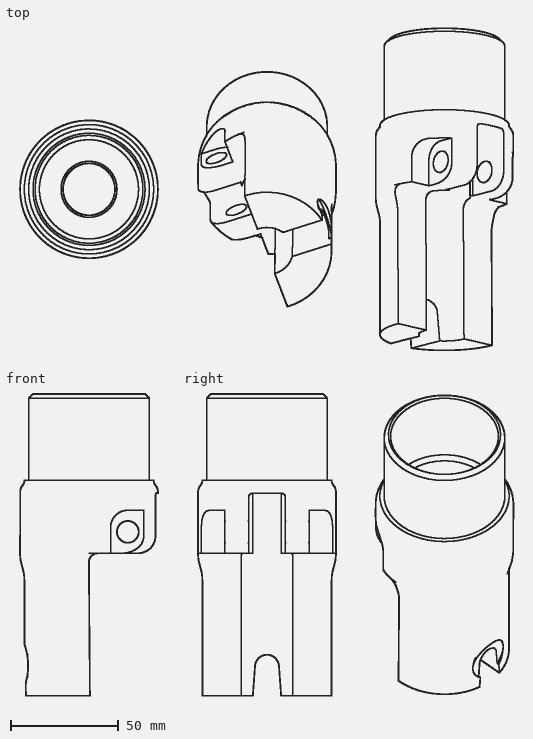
import cadquery as cq
import math

total_height = 140.0
shoulder_z = 100.0
body_bottom_z = 66.0

body_radius = 32.0
neck_radius = 30.0
shoulder_blend_radius = 4.0
shank_blend_radius = 20.0
body_edge_radius = 8.0
flat_foot_x = 0.48
corner_radius = 4.0

spigot_radius = 28.0
spigot_chamfer = 2.0
socket_radius = 25.0
socket_rim_chamfer = 1.0
socket_floor_chamfer = 2.0
socket_floor_z = shoulder_z
bore_radius = 12.0
bore_chamfer = 1.0

pin_radius = 5.0
pin_x = 18.0
pin_z = 76.0
ear_top_rise = 10.0
ear_face_y = 19.5
ear_inner_x = 10.0
ear_top_z = pin_z + ear_top_rise
ear_corner_radius = 8.0
hinge_slot_width = 17.0
hinge_slot_inner_x = ear_inner_x
hinge_slot_top_z = 94.0
hinge_slot_corner_radius = 2.0

notch_center_z = 13.5
notch_radius = 5.5
notch_foot_half_width = 6.5
spotface_z = 14.0
spotface_radius = 10.0
spotface_depth = neck_radius - math.sqrt(neck_radius**2 - spotface_radius**2)

reach = 2 * body_radius


def blend_height(blend_radius):
    """Height of an S-shaped blend of two equal arcs between the neck and body radii."""
    half_step = (body_radius - neck_radius) / 2
    return 2 * math.sqrt(blend_radius**2 - (blend_radius - half_step) ** 2)


def add_blend(profile, start_radius, start_z, end_radius, end_z, blend_radius):
    """Continue a profile with two equal arcs, both vertical at their outer ends."""
    mid_radius = (start_radius + end_radius) / 2
    mid_z = (start_z + end_z) / 2
    turn = math.asin((end_z - start_z) / 2 / blend_radius)
    sagitta = blend_radius * (1 - math.cos(turn / 2))
    rise = blend_radius * math.sin(turn / 2)
    step = math.copysign(sagitta, end_radius - start_radius)
    return profile.threePointArc((start_radius + step, start_z + rise), (mid_radius, mid_z)).threePointArc(
        (end_radius - step, end_z - rise), (end_radius, end_z)
    )


def revolve_profile(profile):
    return profile.close().revolve(360, (0, 0, 0), (0, 1, 0))


def make_body():
    """Body with an S-shaped shoulder, and the chamfered spigot above it."""
    blend_start_z = shoulder_z - blend_height(shoulder_blend_radius)
    profile = (
        cq.Workplane("XZ")
        .moveTo(0, body_bottom_z)
        .lineTo(body_radius, body_bottom_z)
        .lineTo(body_radius, blend_start_z)
    )
    profile = add_blend(
        profile, body_radius, blend_start_z, neck_radius, shoulder_z, shoulder_blend_radius
    )
    profile = (
        profile.lineTo(spigot_radius, shoulder_z)
        .lineTo(spigot_radius, total_height - spigot_chamfer)
        .lineTo(spigot_radius - spigot_chamfer, total_height)
        .lineTo(0, total_height)
    )
    return revolve_profile(profile)


def make_ear_rim_cut():
    """Waste outside the rounded lower rim, along the ears only."""
    profile = (
        cq.Workplane("XZ")
        .moveTo(body_radius - body_edge_radius, body_bottom_z)
        .radiusArc((body_radius, body_bottom_z + body_edge_radius), -body_edge_radius)
        .lineTo(reach, body_bottom_z + body_edge_radius)
        .lineTo(reach, body_bottom_z)
    )
    ear_side_block = cq.Workplane("XY", origin=(ear_inner_x, 0, 0)).box(
        2 * reach, 4 * reach, total_height, centered=(False, True, False)
    )
    return revolve_profile(profile).intersect(ear_side_block)


def make_shank():
    """Half-round shank with a slightly leaning flat, blended outwards into the body and filleted under it."""
    blend_start_z = body_bottom_z - blend_height(shank_blend_radius)
    profile = cq.Workplane("XZ").lineTo(neck_radius, 0).lineTo(neck_radius, blend_start_z)
    profile = add_blend(
        profile, neck_radius, blend_start_z, body_radius, body_bottom_z, shank_blend_radius
    )
    profile = profile.lineTo(0, body_bottom_z)
    side_profile = (
        cq.Workplane("XZ", origin=(0, reach, 0))
        .moveTo(-reach, 0)
        .lineTo(flat_foot_x, 0)
        .lineTo(0, body_bottom_z - corner_radius)
        .radiusArc((corner_radius, body_bottom_z), corner_radius)
        .lineTo(-reach, body_bottom_z)
        .close()
        .extrude(2 * reach)
    )
    return revolve_profile(profile).intersect(side_profile)


def make_bores():
    """Spigot socket with chamfered rim and floor, and the bore that runs on to the foot."""
    profile = (
        cq.Workplane("XZ")
        .lineTo(bore_radius, 0)
        .lineTo(bore_radius, socket_floor_z - bore_chamfer)
        .lineTo(bore_radius + bore_chamfer, socket_floor_z)
        .lineTo(socket_radius - socket_floor_chamfer, socket_floor_z)
        .lineTo(socket_radius, socket_floor_z + socket_floor_chamfer)
        .lineTo(socket_radius, total_height - socket_rim_chamfer)
        .lineTo(socket_radius + socket_rim_chamfer, total_height)
        .lineTo(0, total_height)
    )
    return revolve_profile(profile)


def make_ear_recess(side):
    """Flat recess outside one ear; side is +1 for +Y and -1 for -Y."""
    length = reach - ear_inner_x
    height = ear_top_z - body_bottom_z
    recess = (
        cq.Workplane("XY")
        .box(length, reach, height, centered=(False, True, False))
        .edges("|Y and <X and >Z")
        .fillet(ear_corner_radius)
    )
    return recess.translate((ear_inner_x, side * (ear_face_y + reach / 2), body_bottom_z))


def make_hinge_slot():
    """Slot between the two ears, open at +X and below."""
    length = reach - hinge_slot_inner_x
    height = hinge_slot_top_z - body_bottom_z
    slot = (
        cq.Workplane("XY")
        .box(length, hinge_slot_width, height, centered=(False, True, False))
        .edges("|X and >Z")
        .fillet(hinge_slot_corner_radius)
    )
    return slot.translate((hinge_slot_inner_x, 0, body_bottom_z))


def make_pin_hole():
    return cq.Workplane("XZ", origin=(pin_x, reach, pin_z)).circle(pin_radius).extrude(2 * reach)


def make_notch():
    """Round-topped notch whose straight sides open out towards the foot."""
    lean = math.asin(notch_radius / math.hypot(notch_foot_half_width, notch_center_z))
    lean -= math.atan2(notch_foot_half_width, notch_center_z)
    tangent_y = notch_radius * math.cos(lean)
    tangent_z = notch_center_z - notch_radius * math.sin(lean)
    return (
        cq.Workplane("YZ", origin=(-reach, 0, 0))
        .moveTo(-notch_foot_half_width, 0)
        .lineTo(-tangent_y, tangent_z)
        .threePointArc((0, notch_center_z + notch_radius), (tangent_y, tangent_z))
        .lineTo(notch_foot_half_width, 0)
        .close()
        .extrude(reach)
    )


def make_spotface():
    """Flat round seat around the notch."""
    return (
        cq.Workplane("YZ", origin=(-neck_radius + spotface_depth, 0, spotface_z))
        .circle(spotface_radius)
        .extrude(-reach)
    )


result = make_body().union(make_shank()).cut(make_bores()).cut(make_ear_rim_cut())
for ear_side in (1, -1):
    result = result.cut(make_ear_recess(ear_side))
result = result.cut(make_hinge_slot()).cut(make_pin_hole())
result = result.cut(make_spotface()).cut(make_notch())